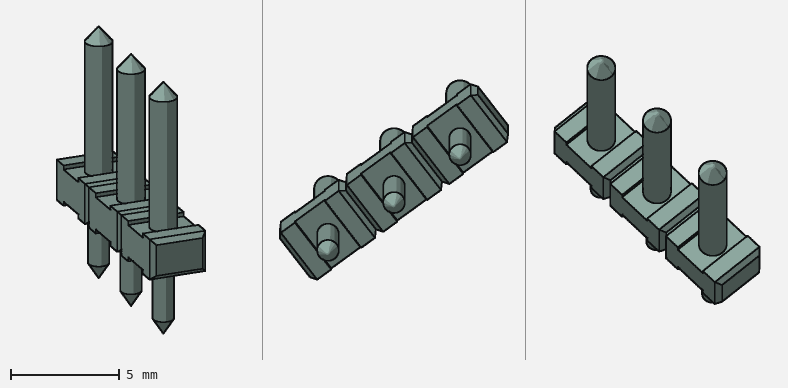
import cadquery as cq

pin_count = 3
housing_length = 11.42
housing_depth = 2.8
housing_height = 2.0
end_chamfer = 0.24
recess_width = 1.71
recess_depth = 0.2

post_diameter = 1.3
tail_diameter = 1.0
post_rise = 7.0
tail_drop = 3.5
post_tip_height = 0.75
tail_tip_height = 0.78

pitch = housing_length / pin_count
recess_floor_top = housing_height - recess_depth
pin_top = housing_height + post_rise
pin_bottom = -tail_drop
pin_positions = [(i - (pin_count - 1) / 2) * pitch for i in range(pin_count)]


def make_pin():
    """Pin revolved about Z, stepping from tail to post at the upper recess floor."""
    post_radius = post_diameter / 2
    tail_radius = tail_diameter / 2
    half_profile = [
        (0, pin_bottom),
        (tail_radius, pin_bottom + tail_tip_height),
        (tail_radius, recess_floor_top),
        (post_radius, recess_floor_top),
        (post_radius, pin_top - post_tip_height),
        (0, pin_top),
    ]
    return cq.Workplane("XZ").polyline(half_profile).close().revolve(360, (0, 0), (0, 1))


def make_cell():
    """One housing cell with chamfered ends and a shallow recess above and below."""
    cell = cq.Workplane("XY").box(pitch, housing_depth, housing_height, centered=(True, True, False))
    cell = cell.faces("<X or >X").chamfer(end_chamfer)
    recess = cq.Workplane("XY").box(recess_width, housing_depth, recess_depth, centered=(True, True, False))
    cell = cell.cut(recess)
    return cell.cut(recess.translate((0, 0, recess_floor_top)))


def make_housing():
    """Single housing of joined cells with a through hole for each pin tail."""
    housing = cq.Workplane("XY")
    for x in pin_positions:
        housing = housing.union(make_cell().translate((x, 0, 0)))
    holes = (
        cq.Workplane("XY")
        .pushPoints([(x, 0) for x in pin_positions])
        .circle(tail_diameter / 2)
        .extrude(housing_height)
    )
    return housing.cut(holes)


housing = make_housing()
pins = [make_pin().translate((x, 0, 0)) for x in pin_positions]

result = cq.Compound.makeCompound([housing.val(), *[pin.val() for pin in pins]])